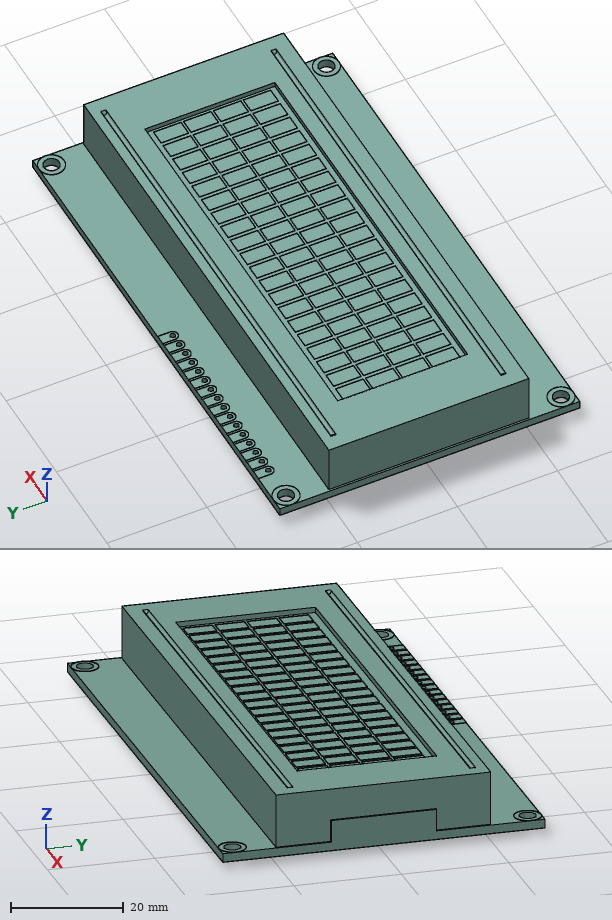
import cadquery as cq
import math

board_length = 98.0
board_width = 60.0
board_thickness = 1.7

pad_height = 0.1
mount_pad_diameter = 5.0
mount_hole_diameter = 3.0

pin_count = 16
first_pin_x = -39.5
last_pin_x = -1.6
pin_pitch = (last_pin_x - first_pin_x) / (pin_count - 1)
pin_pad_width = 2.1
pin_hole_diameter = 1.0

case_length = 97.2
case_width = 40.0
case_height = 10.0

window_length = 76.4
window_width = 26.0
window_depth = 1.0
cell_columns = 20
cell_rows = 4
cell_span_x = 72.2
cell_pitch_x = cell_span_x / (cell_columns - 1)
cell_pitch_y = 6.0
cell_length = 3.0
cell_width = 5.5
cell_depth = 0.1
cell_center_x = 0.1
cell_center_y = -0.2

groove_length = 91.3
groove_width = 1.0
groove_end_slope = 0.7
groove_centers_y = (17.5, -16.5)

tab_width = 19.6
tab_height = 4.1

blob_diameter = 10.0
blob_height = 1.5
blob_flat_diameter = 5.9
blob_centers = ((-24.0, -9.0), (-16.2, 0), (6.0, -9.0), (14.0, 9.0), (28.9, 0))

mount_inset = mount_pad_diameter / 2
mount_points = [
    (side_x * (board_length / 2 - mount_inset), side_y * (board_width / 2 - mount_inset))
    for side_x in (-1, 1)
    for side_y in (-1, 1)
]
pin_y = board_width / 2 - mount_inset
pin_points = [(first_pin_x + i * pin_pitch, pin_y) for i in range(pin_count)]


def block(length, width, height, center=(0, 0), bottom=0):
    """Box centred on a point in XY, standing on the given Z."""
    return (
        cq.Workplane("XY", origin=(center[0], center[1], bottom))
        .box(length, width, height, centered=(True, True, False))
    )


def discs(points, diameter, bottom, height):
    """Equal upright cylinders at the given points."""
    return cq.Workplane("XY", origin=(0, 0, bottom)).pushPoints(points).circle(diameter / 2).extrude(height)


def pin_pads():
    """Raised pads that run from the board edge and end round about the pin holes."""
    strip_length = board_width / 2 - pin_y
    strips = (
        cq.Workplane("XY")
        .pushPoints([(x, y + strip_length / 2) for x, y in pin_points])
        .rect(pin_pad_width, strip_length)
        .extrude(pad_height)
    )
    return strips.union(discs(pin_points, pin_pad_width, 0, pad_height))


def board():
    """Board with mounting pads, connector pads and all through holes."""
    body = block(board_length, board_width, board_thickness, bottom=-board_thickness)
    body = body.union(discs(mount_points, mount_pad_diameter, 0, pad_height)).union(pin_pads())
    drill_length = board_thickness + pad_height
    body = body.cut(discs(mount_points, mount_hole_diameter, -board_thickness, drill_length))
    return body.cut(discs(pin_points, pin_hole_diameter, -board_thickness, drill_length))


def cells():
    """Grid of character cells, cut below the window floor."""
    return (
        cq.Workplane("XY", origin=(cell_center_x, cell_center_y, case_height - window_depth))
        .rarray(cell_pitch_x, cell_pitch_y, cell_columns, cell_rows)
        .rect(cell_length, cell_width)
        .extrude(-cell_depth)
    )


def groove(center_y):
    """Half-round groove whose ends slope up to the case top."""
    radius = groove_width / 2
    half_length = groove_length / 2
    channel = (
        cq.Workplane("YZ", origin=(-half_length, center_y, case_height))
        .circle(radius)
        .extrude(groove_length)
    )
    sloped_ends = (
        cq.Workplane("XZ", origin=(0, center_y + radius, case_height))
        .polyline([
            (-half_length, 0),
            (half_length, 0),
            (half_length - groove_end_slope, -radius),
            (groove_end_slope - half_length, -radius),
        ])
        .close()
        .extrude(groove_width)
    )
    return channel.intersect(sloped_ends)


def case():
    """Case with its window, cells, grooves and end tab."""
    body = block(case_length, case_width, case_height)
    body = body.cut(block(window_length, window_width, window_depth, bottom=case_height - window_depth))
    body = body.cut(cells())
    for center_y in groove_centers_y:
        body = body.cut(groove(center_y))
    tab_thickness = (board_length - case_length) / 2
    tab_x = (board_length - tab_thickness) / 2
    return body.union(block(tab_thickness, tab_width, tab_height, center=(tab_x, 0)))


def blob(center):
    """Resin blob hanging under the board: a flat bottom with a rounded rim that blends into it."""
    rim_radius = blob_diameter / 2
    flat_radius = blob_flat_diameter / 2
    flank = rim_radius - flat_radius
    arc_radius = (flank**2 + blob_height**2) / (2 * blob_height)
    half_angle = math.acos(1 - blob_height / arc_radius) / 2
    arc_middle = (
        flat_radius + arc_radius * math.sin(half_angle),
        -blob_height + arc_radius * (1 - math.cos(half_angle)),
    )
    return (
        cq.Workplane("XZ", origin=(center[0], center[1], -board_thickness))
        .lineTo(rim_radius, 0)
        .threePointArc(arc_middle, (flat_radius, -blob_height))
        .lineTo(0, -blob_height)
        .close()
        .revolve(360, (0, 0, 0), (0, 1, 0))
    )


result = board().union(case())
for center in blob_centers:
    result = result.union(blob(center))